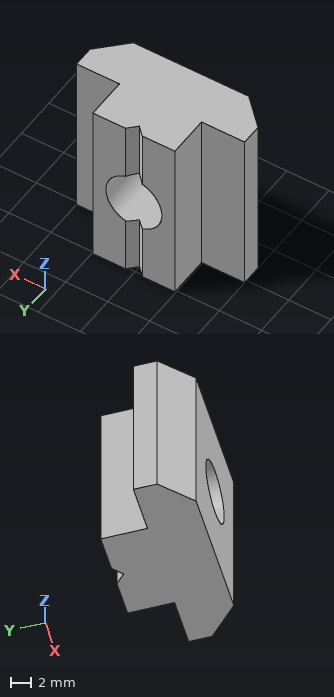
import cadquery as cq

width = 20.0
depth = 10.45
length = 20.0

flange_depth = 5.6
chamfer = 3.15
stem_width = 9.75

groove_width = 2.0
groove_depth = groove_width / 2

hole_diameter = 6.65

half_width = width / 2
half_stem = stem_width / 2
half_groove = groove_width / 2
front_y = -depth / 2
back_y = depth / 2
shoulder_y = front_y + flange_depth
chamfer_y = front_y + chamfer

half_profile = [
    (0, front_y),
    (half_width - chamfer, front_y),
    (half_width, chamfer_y),
    (half_width, shoulder_y),
    (half_stem, shoulder_y),
    (half_stem, back_y),
    (half_groove, back_y),
    (0, back_y - groove_depth),
]
body = (
    cq.Workplane("XY")
    .workplane(offset=-length / 2)
    .polyline(half_profile)
    .mirrorY()
    .extrude(length)
)

hole = cq.Workplane("XZ").circle(hole_diameter / 2).extrude(depth, both=True)

result = body.cut(hole)